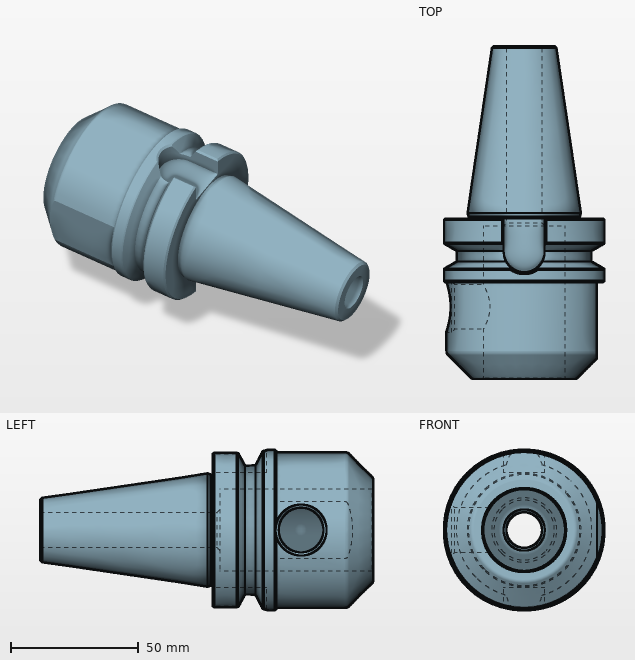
import cadquery as cq
import math

total_length = 130.4
tip_y = 65.5
nose_y = tip_y - total_length

gauge_radius = 22.23
taper_ratio = 7 / 48
tip_radius = gauge_radius - tip_y * taper_ratio
tip_chamfer = 0.9
neck_radius = 21.8
neck_bevel_length = 1.3

flange_radius = 31.49
flange_top_y = -2.1
groove_top_y = -12.0
groove_floor_top_y = -14.7
groove_floor_bottom_y = -18.9
groove_bottom_y = -21.6
groove_radius = 26.5
groove_rim_width = 0.5
groove_rim_depth = 0.3
flange_bottom_y = -27.1
flange_top_chamfer = 0.7
flange_bottom_chamfer = 0.8

slot_width = 16.0
slot_floor_z = 22.5
slot_end_y = -23.1
slot_edge_chamfer = 0.8

body_radius = 30.5
nose_radius = 20.3
bevel_fillet = 2.0
nose_fillet = 1.8
flat_x = 28.4

bore_radius = 15.97
bore_depth = 60.0
bore_chamfer = 0.5
through_radius = 6.9
through_chamfer = 1.2

screw_y = -36.6
screw_radius = 8.7
countersink_radius = 9.98
countersink_x = -28.4


def revolve(points):
    """Turn a closed outline of (radius, y) points about the Y axis."""
    outline = cq.Workplane("XY").polyline(points).close()
    return outline.revolve(360, (0, 0, 0), (0, 1, 0))


def make_shank():
    return revolve([
        (0, tip_y),
        (tip_radius - tip_chamfer, tip_y),
        (tip_radius, tip_y - tip_chamfer),
        (gauge_radius, 0),
        (neck_radius, -neck_bevel_length),
        (neck_radius, flange_bottom_y),
        (0, flange_bottom_y),
    ])


def make_slot(side):
    """Round-ended slot cutter, open toward the shank; side is +1 or -1 in Z."""
    half_width = slot_width / 2
    arc_center_y = slot_end_y + half_width
    return (
        cq.Workplane("XY", origin=(0, 0, side * slot_floor_z))
        .moveTo(-half_width, tip_y)
        .lineTo(-half_width, arc_center_y)
        .threePointArc((0, slot_end_y), (half_width, arc_center_y))
        .lineTo(half_width, tip_y)
        .close()
        .extrude(side * flange_radius)
    )


def make_flange():
    flange = revolve([
        (0, flange_top_y),
        (flange_radius, flange_top_y),
        (flange_radius, flange_bottom_y),
        (0, flange_bottom_y),
    ])
    for side in (1, -1):
        flange = flange.cut(make_slot(side))
    rims = [edge for edge in flange.edges().vals() if is_slot_rim(edge)]
    flange = flange.newObject(rims).chamfer(slot_edge_chamfer)
    return flange.cut(make_flange_relief())


def is_slot_rim(edge):
    """True for the edges where a slot wall meets the outer cylinder."""
    tolerance = 0.01
    middle = edge.positionAt(0.5)
    on_cylinder = abs(math.hypot(middle.x, middle.z) - flange_radius) < tolerance
    near_slot = abs(middle.x) < slot_width / 2 + tolerance
    return on_cylinder and near_slot and slot_end_y - tolerance < middle.y < flange_top_y - tolerance


def make_flange_relief():
    """Rings that form the V groove and the two outer corner chamfers."""
    groove = revolve([
        (flange_radius, groove_top_y + groove_rim_width),
        (flange_radius - groove_rim_depth, groove_top_y),
        (groove_radius, groove_floor_top_y),
        (groove_radius, groove_floor_bottom_y),
        (flange_radius - groove_rim_depth, groove_bottom_y),
        (flange_radius, groove_bottom_y - groove_rim_width),
    ])
    top_corner = revolve([
        (flange_radius - flange_top_chamfer, flange_top_y),
        (flange_radius, flange_top_y),
        (flange_radius, flange_top_y - flange_top_chamfer),
    ])
    bottom_corner = revolve([
        (flange_radius - flange_bottom_chamfer, flange_bottom_y),
        (flange_radius, flange_bottom_y),
        (flange_radius, flange_bottom_y + flange_bottom_chamfer),
    ])
    return groove.union(top_corner).union(bottom_corner)


def make_body():
    bevel = body_radius - nose_radius
    body = revolve([
        (0, flange_bottom_y),
        (body_radius, flange_bottom_y),
        (body_radius, nose_y + bevel),
        (nose_radius, nose_y),
        (0, nose_y),
    ])
    body = body.faces("<Y").edges().fillet(nose_fillet)
    search_margin = 0.1
    bevel_rim = cq.selectors.BoxSelector(
        (-flange_radius, nose_y + bevel - search_margin, -flange_radius),
        (flange_radius, nose_y + bevel + search_margin, flange_radius),
    )
    body = body.edges(bevel_rim).fillet(bevel_fillet)
    keep = cq.Workplane("XY").box(
        body_radius + flat_x, total_length, 2 * body_radius
    ).translate(((flat_x - body_radius) / 2, 0, 0))
    return body.intersect(keep)


def make_bore():
    floor_y = nose_y + bore_depth
    return revolve([
        (0, nose_y),
        (bore_radius + bore_chamfer, nose_y),
        (bore_radius, nose_y + bore_chamfer),
        (bore_radius, floor_y),
        (through_radius + through_chamfer, floor_y),
        (through_radius, floor_y + through_chamfer),
        (through_radius, tip_y),
        (0, tip_y),
    ])


def make_screw_hole():
    cone_depth = countersink_radius - screw_radius
    profile = cq.Workplane("XY").polyline([
        (-flange_radius, screw_y),
        (-flange_radius, screw_y + countersink_radius),
        (countersink_x, screw_y + countersink_radius),
        (countersink_x + cone_depth, screw_y + screw_radius),
        (0, screw_y + screw_radius),
        (0, screw_y),
    ]).close()
    return profile.revolve(360, (0, screw_y, 0), (1, screw_y, 0))


result = (
    make_shank()
    .union(make_flange())
    .union(make_body())
    .cut(make_bore())
    .cut(make_screw_hole())
)